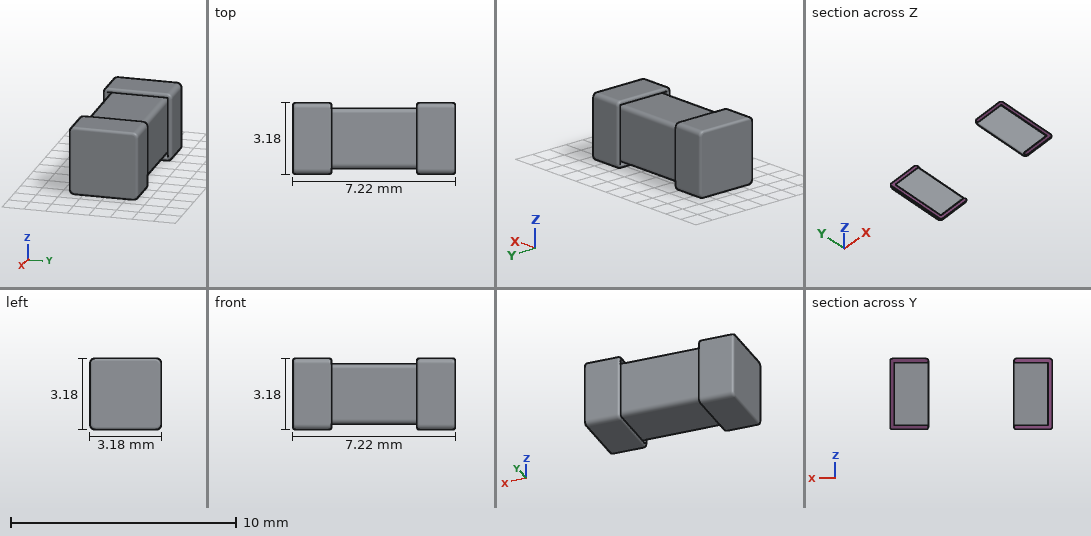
import cadquery as cq

overall_length = 7.22
cap_size = 3.18

cap_length = 1.72
cap_wall = 0.2
cap_edge_radius = 0.24
cap_end_radius = 0.125
cap_rim_land = 0.001

body_size = 2.704
body_edge_radius = 0.23

cap_mouth_radius = cap_wall - cap_end_radius - cap_rim_land
cavity_size = cap_size - 2 * cap_wall
cavity_corner_radius = cap_edge_radius - cap_wall
cavity_depth = cap_length - cap_wall
body_length = overall_length - 2 * cap_wall


def make_body():
    """Square bar along X with rounded long edges, reaching the cavity floor of both caps."""
    bar = cq.Workplane("XY").box(body_length, body_size, body_size)
    return bar.edges("|X").fillet(body_edge_radius)


def make_cap():
    """Thin-walled cap on the -X end: a rounded box with a cavity that opens toward +X."""
    closed_end = cq.Workplane("YZ", origin=(-overall_length / 2, 0, 0))
    shell = closed_end.rect(cap_size, cap_size).extrude(cap_length)
    shell = shell.edges("|X").fillet(cap_edge_radius)
    shell = shell.faces("<X or >X").edges().fillet(cap_end_radius)

    cavity_floor = cq.Workplane("YZ", origin=(-body_length / 2, 0, 0))
    cavity = cavity_floor.rect(cavity_size, cavity_size).extrude(cavity_depth)
    cavity = cavity.edges("|X").fillet(cavity_corner_radius)
    shell = shell.cut(cavity)

    shortest_wire = cq.selectors.LengthNthSelector(0)
    mouth_edges = shell.faces(">X").wires(shortest_wire).edges()
    return mouth_edges.fillet(cap_mouth_radius)


body = make_body()
left_cap = make_cap()
right_cap = left_cap.mirror("YZ")

result = cq.Compound.makeCompound([body.val(), left_cap.val(), right_cap.val()])